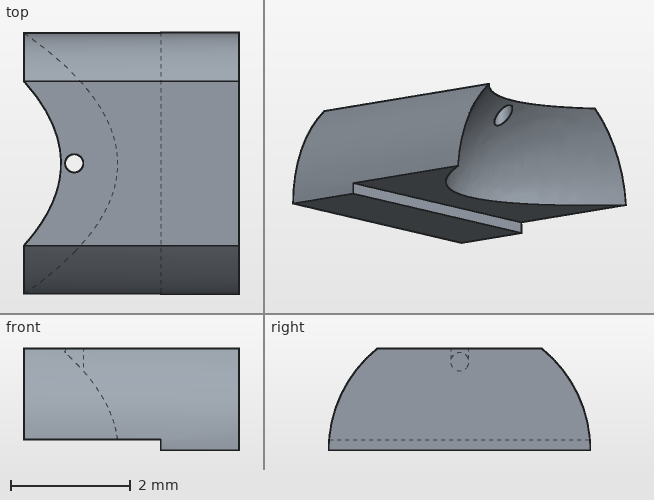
import cadquery as cq
import math

length = 3.59
outer_radius = 2.183
height = 1.7

recess_length = 2.28
recess_height = 0.18

cavity_depth = 1.57

hole_diameter = 0.3
hole_x = 0.84


def make_body():
    flat_half_width = math.sqrt(outer_radius**2 - height**2)
    half_flat_angle = math.atan2(height, flat_half_width) / 2
    arc_mid_y = outer_radius * math.cos(half_flat_angle)
    arc_mid_z = outer_radius * math.sin(half_flat_angle)
    return (
        cq.Workplane("YZ")
        .moveTo(-outer_radius, 0)
        .lineTo(outer_radius, 0)
        .threePointArc((arc_mid_y, arc_mid_z), (flat_half_width, height))
        .lineTo(-flat_half_width, height)
        .threePointArc((-arc_mid_y, arc_mid_z), (-outer_radius, 0))
        .close()
        .extrude(length)
    )


def make_recess():
    return cq.Workplane("XY").box(
        recess_length, 2 * outer_radius, recess_height, centered=(False, True, False)
    )


def make_cavity():
    rim = (0, outer_radius)
    control = (cavity_depth, outer_radius / 2)
    apex = (cavity_depth, 0)
    return (
        cq.Workplane("XY")
        .moveTo(*rim)
        .bezier([rim, control, apex])
        .lineTo(0, 0)
        .close()
        .revolve(360, (0, 0, 0), (1, 0, 0))
    )


def make_hole():
    return cq.Workplane("XY").center(hole_x, 0).circle(hole_diameter / 2).extrude(height)


result = make_body().cut(make_recess()).cut(make_cavity()).cut(make_hole())